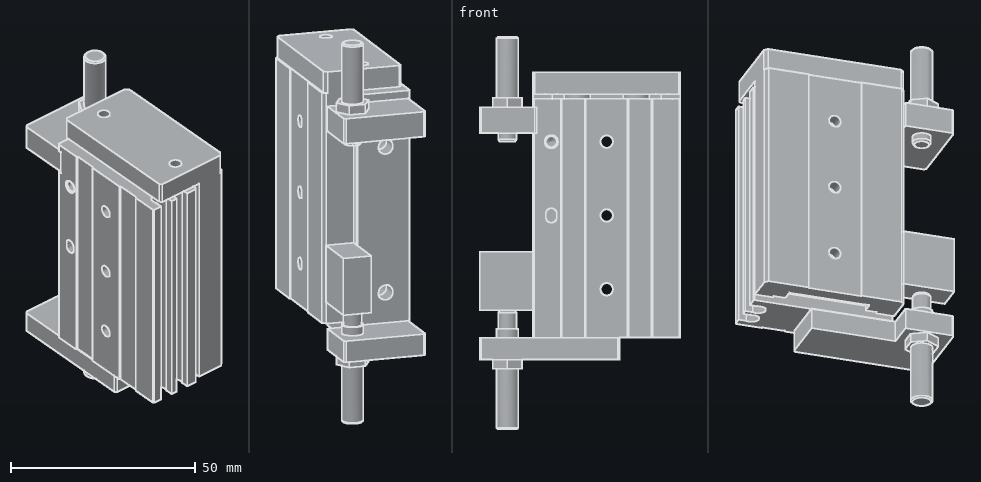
import cadquery as cq
import math


half_width = 20.0
housing_height = 64.8
housing_depth = 15.3
housing_chamfer = 0.3
front_groove_depth = 0.3
front_groove_inner = 5.6
front_groove_outer = 12.5

sensor_slot_diameter = 4.2
sensor_slot_x = 16.9
sensor_slot_mouth = 3.7
sensor_slot_y = 7.3
sensor_slot_spacing = 5.5

through_hole_diameter = 3.3
through_hole_pitch = 20.0
through_hole_middle = 33.1
pin_hole_diameter = 3.0
pin_hole_rim_diameter = 3.6
pin_hole_depth = 4.3
pin_hole_offset = 15.0
pin_slot_length = 3.9
side_hole_diameter = 4.2
side_hole_depth = 5.3
side_hole_y = 7.0
side_hole_heights = (8.5, 49.5)
drill_point_angle = 118
rim_bevel_angle = 45

rail_half_width = 11.5
rail_back = 20.2
rail_bottom = 3.5
relief_half_width = 14.8
relief_depth = 0.7

plate_left = -34.5
plate_front = 0.5
plate_back = 24.0
plate_step_x = -20.6
plate_step_y = 15.7
plate_chamfer = 0.5
upper_plate_right = -19.0
upper_plate_bottom = 55.5
upper_plate_thickness = 7.0
lower_plate_right = 3.5
lower_plate_thickness = 6.0

screw_x = -26.9
screw_y = 19.0
screw_diameter = 6.0
screw_chamfer = 0.4
tip_diameter = 5.0
tip_end_diameter = 4.2
tip_bevel_length = 0.6
nut_sides = 6
nut_width = 8.0
nut_height = 2.6
assembly_height = 106.5
upper_screw_top = 81.6
upper_tip_end = 53.1
lower_screw_shoulder = 2.3

table_bottom = 1.3
table_front = 16.2
table_back = 25.0
back_corner_chamfer = 1.0
back_recess_half_width = 7.6
back_recess_depth = 0.3
block_bottom = 7.3
block_height = 16.0
block_back = 24.2

end_plate_bottom = 66.0
end_plate_thickness = 6.0
end_plate_front = 2.6
end_plate_back = 24.6
end_plate_front_chamfer = 0.5
end_plate_hole_diameter = 3.3
end_plate_hole_offset = 15.0
end_plate_hole_y = 12.0
pad_diameter = 7.0
pad_offset = 8.0
pad_y = 7.6


def box(x_range, y_range, z_range):
    """Box between the given limits along each axis."""
    sizes = [high - low for low, high in (x_range, y_range, z_range)]
    return cq.Workplane("XY").box(*sizes, centered=False).translate((x_range[0], y_range[0], z_range[0]))


def centred_box(half_x, y_range, z_range):
    """Box that is symmetric about X = 0."""
    return box((-half_x, half_x), y_range, z_range)


def solid_of_revolution(profile):
    """Turn a (radius, height) outline around the Z axis."""
    return cq.Workplane("XZ").polyline(profile).close().revolve(360, (0, 0, 0), (0, 1, 0))


def drilled_hole(diameter, depth):
    """Blind hole along +Z from the origin, ending in a drill point."""
    point_length = diameter / 2 / math.tan(math.radians(drill_point_angle / 2))
    return solid_of_revolution([(0, 0), (diameter / 2, 0), (diameter / 2, depth), (0, depth + point_length)])


def mounting_holes():
    """Column of holes through housing, rail and table."""
    centres = [(0, through_hole_middle + step * through_hole_pitch) for step in (-1, 0, 1)]
    return cq.Workplane("XZ").pushPoints(centres).circle(through_hole_diameter / 2).extrude(-table_back)


def front_grooves():
    """Two shallow grooves in the front face, with walls sloping at 45 degrees."""
    outline = [
        (front_groove_inner, 0),
        (front_groove_outer, 0),
        (front_groove_outer - front_groove_depth, front_groove_depth),
        (front_groove_inner + front_groove_depth, front_groove_depth),
    ]
    groove = cq.Workplane("XY").polyline(outline).close().extrude(housing_height)
    return groove.union(groove.mirror("YZ"))


def sensor_slot(y):
    """Round slot along the housing, open to the +X side through a narrower mouth."""
    centre = (sensor_slot_x, y, 0)
    round_part = cq.Workplane("XY", origin=centre).circle(sensor_slot_diameter / 2).extrude(housing_height)
    mouth_range = (y - sensor_slot_mouth / 2, y + sensor_slot_mouth / 2)
    return round_part.union(box((sensor_slot_x, half_width), mouth_range, (0, housing_height)))


def housing_block():
    """Housing profile with its front grooves, sensor slots and guide rail."""
    block = centred_box(half_width, (0, housing_depth), (0, housing_height))
    block = block.edges("|Z").chamfer(housing_chamfer).cut(front_grooves())
    for side in (-1, 1):
        block = block.cut(sensor_slot(sensor_slot_y + side * sensor_slot_spacing / 2))
    rail_heights = (rail_bottom, housing_height - rail_bottom)
    rail = centred_box(rail_half_width, (housing_depth, rail_back), rail_heights)
    return block.union(rail)


def pin_hole():
    """Blind pin hole in the front face, with a bevelled rim."""
    bevel = (pin_hole_rim_diameter - pin_hole_diameter) / 2
    hole = drilled_hole(pin_hole_diameter, pin_hole_depth)
    rim = cq.Workplane("XY").circle(pin_hole_rim_diameter / 2).extrude(bevel, taper=rim_bevel_angle)
    hole = hole.union(rim).rotate((0, 0, 0), (1, 0, 0), -90)
    return hole.translate((-pin_hole_offset, 0, through_hole_middle + through_hole_pitch))


def pin_slot():
    """Blind slot in the front face, below the pin hole."""
    centre = (-pin_hole_offset, 0, through_hole_middle)
    outline = cq.Workplane("XZ", origin=centre).slot2D(pin_slot_length, pin_hole_diameter, 90)
    return outline.extrude(-pin_hole_depth)


def side_holes():
    """Blind holes in the -X side of the housing."""
    hole = drilled_hole(side_hole_diameter, side_hole_depth).rotate((0, 0, 0), (0, 1, 0), 90)
    low, high = [hole.translate((-half_width, side_hole_y, height)) for height in side_hole_heights]
    return low.union(high)


def stopper_plate(right, bottom, thickness):
    """Stopper plate with a step that clears the table."""
    outline = [
        (plate_left, plate_front),
        (right, plate_front),
        (right, plate_step_y),
        (plate_step_x, plate_step_y),
        (plate_step_x, plate_back),
        (plate_left, plate_back),
    ]
    plate = cq.Workplane("XY").polyline(outline).close().extrude(thickness)
    plate = plate.edges("|Z and (<Y or <X)").chamfer(plate_chamfer)
    return plate.translate((0, 0, bottom))


def nut(bottom):
    """Hexagonal lock nut with two flats facing along X."""
    half_side_angle = 180 / nut_sides
    corner_diameter = nut_width / math.cos(math.radians(half_side_angle))
    hexagon = cq.Workplane("XY").polygon(nut_sides, corner_diameter).extrude(nut_height)
    hexagon = hexagon.rotate((0, 0, 0), (0, 0, 1), half_side_angle)
    return hexagon.translate((screw_x, screw_y, bottom))


def screw(tip_end, shoulder, end):
    """Adjuster screw from its bevelled tip, past the shoulder, to its chamfered outer end."""
    out = 1 if end > tip_end else -1
    profile = [
        (0, tip_end),
        (tip_end_diameter / 2, tip_end),
        (tip_diameter / 2, tip_end + out * tip_bevel_length),
        (tip_diameter / 2, shoulder),
        (screw_diameter / 2, shoulder),
        (screw_diameter / 2, end - out * screw_chamfer),
        (screw_diameter / 2 - screw_chamfer, end),
        (0, end),
    ]
    return solid_of_revolution(profile).translate((screw_x, screw_y, 0))


def make_housing():
    """Housing with both stopper plates, adjuster screws and nuts."""
    upper_plate_top = upper_plate_bottom + upper_plate_thickness
    plate_notch = box(
        (-half_width, upper_plate_right), (0, housing_depth), (upper_plate_bottom, upper_plate_top)
    )
    housing = housing_block().cut(pin_hole()).cut(pin_slot()).cut(side_holes()).cut(plate_notch)
    housing = housing.union(stopper_plate(upper_plate_right, upper_plate_bottom, upper_plate_thickness))
    housing = housing.union(stopper_plate(lower_plate_right, -lower_plate_thickness, lower_plate_thickness))
    housing = housing.union(nut(upper_plate_top))
    housing = housing.union(nut(-lower_plate_thickness - nut_height))
    housing = housing.union(screw(upper_tip_end, upper_plate_bottom, upper_screw_top))
    housing = housing.union(screw(block_bottom, lower_screw_shoulder, upper_screw_top - assembly_height))
    return housing.cut(mounting_holes())


def table_slab():
    """Table profile with its back recess and the channel for the rail."""
    heights = (table_bottom, end_plate_bottom)
    slab = centred_box(half_width, (table_front, table_back), heights)
    slab = slab.edges("|Z and >Y").chamfer(back_corner_chamfer)
    recess = centred_box(back_recess_half_width, (table_back - back_recess_depth, table_back), heights)
    relief = centred_box(relief_half_width, (table_front, table_front + relief_depth), heights)
    channel = centred_box(rail_half_width, (table_front, rail_back), heights)
    return slab.cut(recess).cut(relief).cut(channel)


def end_plate():
    """End plate across the top of the housing, with its two holes and the pads beneath it."""
    heights = (end_plate_bottom, end_plate_bottom + end_plate_thickness)
    plate = centred_box(half_width, (end_plate_front, end_plate_back), heights)
    plate = plate.edges("|Z and >Y").chamfer(back_corner_chamfer)
    plate = plate.edges("|Z and <Y").chamfer(end_plate_front_chamfer)
    holes = (
        cq.Workplane("XY", origin=(0, end_plate_hole_y, end_plate_bottom))
        .pushPoints([(-end_plate_hole_offset, 0), (end_plate_hole_offset, 0)])
        .circle(end_plate_hole_diameter / 2)
        .extrude(end_plate_thickness)
    )
    pads = (
        cq.Workplane("XY", origin=(0, pad_y, housing_height))
        .pushPoints([(-pad_offset, 0), (pad_offset, 0)])
        .circle(pad_diameter / 2)
        .extrude(end_plate_bottom - housing_height)
    )
    return plate.cut(holes).union(pads)


def make_table():
    """Sliding table with its stop block and end plate."""
    block_top = block_bottom + block_height
    stop_block = box((plate_left, -half_width), (table_front, block_back), (block_bottom, block_top))
    return table_slab().union(stop_block).union(end_plate()).cut(mounting_holes())


housing = make_housing()
table = make_table()
result = cq.Compound.makeCompound([housing.val(), table.val()])